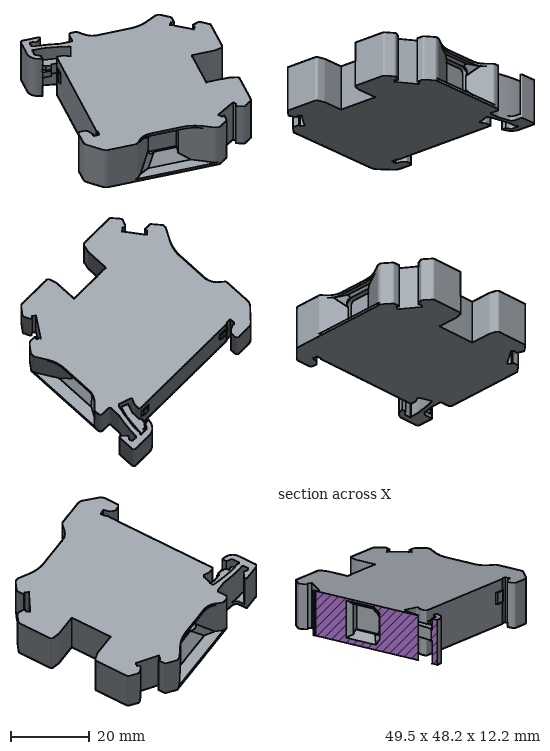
import cadquery as cq
import math

THICKNESS = 12.15
HEIGHT = 48.2
SIDE_X = 24.3
BASE_Y = 6.75

SLOT_X = 5.85
SLOT_FLOOR_Y = 39.6
SHOULDER_Y = 39.65
SHOULDER_SIDE_Y = 37.1

HOOK_TIP_X = 14.95
HOOK_BOTTOM_Y = 2.1

FOOT_LEFT_X = -25.2
FOOT_TIP_Y = 3.1
FOOT_TIP_X = -16.55
ARM_X = -20.95
ARM_TOP_Y = 9.35
HEEL_Y = 12.6
CATCH_TOP_Y = 5.2
POCKET_FLOOR_Y = 2.1
FOOT_SLOT_X = -20.8
WEB_THICKNESS = 1.25

LATCH_Z_MIN = 6.0
LATCH_Z_MAX = 9.1
LATCH_LIP_Z_MAX = 7.7
TAB_DEPTH = 0.3
LEFT_TAB_MIN_X = -15.55
LEFT_TAB_MAX_X = -12.7
LEFT_TAB_LEAD_IN = 0.65
RIGHT_TAB_MIN_X = 13.2
RIGHT_TAB_MAX_X = 16.35
RIGHT_TAB_LEAD_IN = 0.55

PLATE = 0.75
ENTRY_TOP_Y = 36.1
ENTRY_BOTTOM_Y = 14.85
ENTRY_BACK_X = 21.3
MOUTH_UPPER_RADIUS = 1.5
MOUTH_LOWER_RADIUS = 0.75
ENTRY_UPPER_RADIUS = 9.65
ENTRY_LOWER_RADIUS = 4.45
TUNNEL_TOP_Y = 27.5
TUNNEL_BOTTOM_Y = 19.65
TUNNEL_Z_MIN = 3.5
TUNNEL_Z_MAX = 10.65
TUNNEL_BACK_X = 17.85
TUNNEL_CORNER = 1.2
UPPER_WALL_X = 19.4
LOWER_WALL_X = 18.9
FUNNEL_FLOOR_X = 21.05
FUNNEL_BACK_X = 18.4
FUNNEL_ROOF_X = 20.1
OVERCUT = 1.0


def rounded_outline(corners):
    """Closed wire through (x, y, radius) corners; radius 0 keeps a corner sharp."""
    cuts = []
    for i, (x, y, radius) in enumerate(corners):
        before = corners[i - 1]
        after = corners[(i + 1) % len(corners)]
        corner = cq.Vector(x, y)
        if radius == 0:
            cuts.append((corner, None, corner))
            continue
        back = (cq.Vector(before[0], before[1]) - corner).normalized()
        ahead = (cq.Vector(after[0], after[1]) - corner).normalized()
        half_angle = back.getAngle(ahead) / 2
        tangent = radius / math.tan(half_angle)
        bisector = (back + ahead).normalized()
        middle = corner + bisector * (radius / math.sin(half_angle) - radius)
        cuts.append((corner + back * tangent, middle, corner + ahead * tangent))
    sketch = cq.Workplane("XY").moveTo(cuts[0][2].x, cuts[0][2].y)
    for start, middle, end in cuts[1:] + cuts[:1]:
        sketch = sketch.lineTo(start.x, start.y)
        if middle is not None:
            sketch = sketch.threePointArc((middle.x, middle.y), (end.x, end.y))
    return sketch.close()


def slab(corners, z_min, z_max):
    """Prism over a rounded outline between two Z levels."""
    return rounded_outline(corners).extrude(z_max - z_min).translate((0, 0, z_min))


def upper_right_corners():
    """Right half of the upper end, from the slot floor out to the side face."""
    return [
        (SLOT_X, SLOT_FLOOR_Y, 0),
        (SLOT_X, 45.85, 0),
        (6.5, HEIGHT, 0.75),
        (16.4, HEIGHT, 0.75),
        (18.35, 45.75, 0.75),
        (17.4, 43.5, 0.4),
        (16.7, 44.05, 0),
        (15.85, 43.45, 0),
        (19.5, 38.25, 0),
        (20.4, 38.95, 0),
        (20.2, SHOULDER_Y, 0),
        (22.28, SHOULDER_Y, 0.75),
        (SIDE_X, SHOULDER_SIDE_Y, 0.5),
    ]


def rail_hook_corners():
    """Fixed hook on the right, from the side face round to the base."""
    return [
        (SIDE_X, 6.4, 2.25),
        (20.1, HOOK_BOTTOM_Y, 2.25),
        (HOOK_TIP_X, HOOK_BOTTOM_Y, 0.8),
        (HOOK_TIP_X, 4.2, 0.25),
        (16.0, 5.1, 0.25),
        (17.6, 5.55, 0),
        (17.5, 7.0, 0),
        (16.45, 7.0, 0),
        (15.95, BASE_Y, 0),
    ]


def spring_foot_corners():
    """Spring slot, sprung foot and its arm, from the base round to the left side."""
    return [
        (-16.15, BASE_Y, 0.4),
        (-16.05, 8.55, 0.5),
        (-15.15, 10.25, 0.4),
        (-19.0, 11.6, 0.45),
        (-19.8, 8.55, 9.9),
        (-20.55, 4.85, 9.9),
        (-20.65, POCKET_FLOOR_Y, 0),
        (FOOT_SLOT_X, POCKET_FLOOR_Y, 0),
        (FOOT_SLOT_X, 1.75, 0),
        (-18.6, 1.75, 0.6),
        (-17.75, FOOT_TIP_Y, 0),
        (FOOT_TIP_X, FOOT_TIP_Y, 0),
        (-17.3, 0, 2.9),
        (FOOT_LEFT_X, 0, 0.75),
        (FOOT_LEFT_X, CATCH_TOP_Y, 0.15),
        (-24.55, CATCH_TOP_Y, 0),
        (-23.25, 3.65, 0.4),
        (-23.85, 3.0, 0.25),
        (-23.75, POCKET_FLOOR_Y, 0.3),
        (-22.1, POCKET_FLOOR_Y, 0.3),
        (-21.85, 5.7, 37.12),
        (ARM_X, ARM_TOP_Y, 0),
        (ARM_X, HEEL_Y, 0.4),
        (-SIDE_X, HEEL_Y, 0.9),
    ]


def make_body():
    right = upper_right_corners()
    left = [(-x, y, radius) for x, y, radius in reversed(right)]
    outline = left + right + rail_hook_corners() + spring_foot_corners()
    return slab(outline, 0, THICKNESS)


def make_catch_web():
    """Thin floor across the catch pocket, rounded into the arm."""
    corners = [
        (-24.85, CATCH_TOP_Y, 0),
        (-21.9, CATCH_TOP_Y, 1.5),
        (-21.55, 6.6, 0),
        (-21.3, 5.95, 0),
        (-21.55, 1.75, 0),
        (-24.85, 1.75, 0),
    ]
    return slab(corners, 0, WEB_THICKNESS)


def make_latch_finger():
    """Finger hanging between the body and the foot, next to the spring slot."""
    finger = [
        (-18.0, 11.5, 0),
        (-19.0, 8.35, 9.9),
        (-19.7, 3.3, 9.9),
        (-19.75, POCKET_FLOOR_Y, 0),
        (FOOT_SLOT_X, POCKET_FLOOR_Y, 0),
        (FOOT_SLOT_X, 1.5, 0),
        (-18.5, 1.5, 0),
        (-18.5, FOOT_TIP_Y, 0),
        (-17.75, FOOT_TIP_Y, 0),
        (-17.05, 4.2, 0),
        (-16.8, 5.5, 0),
        (-17.25, 5.75, 0),
        (-17.25, 8.1, 1.5),
        (-16.2, 10.8, 0),
    ]
    lip = [
        (-17.75, FOOT_TIP_Y, 0),
        (-16.4, FOOT_TIP_Y, 0),
        (-16.4, 5.4, 0),
        (-16.8, 5.5, 0),
        (-17.05, 4.2, 0),
    ]
    tall = slab(finger, LATCH_Z_MIN, LATCH_Z_MAX)
    return tall.union(slab(lip, LATCH_Z_MIN, LATCH_LIP_Z_MAX))


def make_snap_tab(x_min, x_max, lead_in):
    """Low bevelled tab under the base."""
    corners = [
        (x_min, BASE_Y, 0),
        (x_min + lead_in, BASE_Y - TAB_DEPTH, 0),
        (x_max - lead_in, BASE_Y - TAB_DEPTH, 0),
        (x_max, BASE_Y, 0),
        (x_max, BASE_Y + TAB_DEPTH, 0),
        (x_min, BASE_Y + TAB_DEPTH, 0),
    ]
    return slab(corners, LATCH_Z_MIN, LATCH_Z_MAX)


def entry_mouth(inner_corners):
    """Entry outline whose walls blend into the left side face."""
    outside = -SIDE_X - OVERCUT
    return [
        (outside, ENTRY_TOP_Y + OVERCUT / 2, 0),
        (-SIDE_X, ENTRY_TOP_Y + OVERCUT / 2, 0),
        (-SIDE_X, ENTRY_TOP_Y, MOUTH_UPPER_RADIUS),
        *inner_corners,
        (-SIDE_X, ENTRY_BOTTOM_Y, MOUTH_LOWER_RADIUS),
        (-SIDE_X, ENTRY_BOTTOM_Y - OVERCUT / 2, 0),
        (outside, ENTRY_BOTTOM_Y - OVERCUT / 2, 0),
    ]


def sloped_prism(profile):
    """Prism over an XZ profile, spanning the full height of the entry."""
    length = ENTRY_TOP_Y - ENTRY_BOTTOM_Y
    prism = cq.Workplane("XZ").polyline(profile).close().extrude(-length)
    return prism.translate((0, ENTRY_BOTTOM_Y, 0))


def facet_block(origin, second, third, z_direction):
    """Large block behind the plane of three (x, y, z) points, on the given Z side."""
    base = cq.Vector(*origin)
    along = cq.Vector(*second) - base
    normal = along.cross(cq.Vector(*third) - base)
    if normal.z * z_direction < 0:
        normal = normal * -1
    plane = cq.Plane(base, along, normal)
    return cq.Workplane(plane).rect(HEIGHT, HEIGHT).extrude(HEIGHT)


def upper_wall_y(x):
    """Y of the slanted upper entry wall at a distance x from the middle."""
    slope = (ENTRY_TOP_Y - TUNNEL_TOP_Y) / (SIDE_X - UPPER_WALL_X)
    return TUNNEL_TOP_Y + slope * (x - UPPER_WALL_X)


def lower_wall_y(x):
    """Y of the slanted lower entry wall at a distance x from the middle."""
    slope = (ENTRY_BOTTOM_Y - TUNNEL_BOTTOM_Y) / (SIDE_X - LOWER_WALL_X)
    return TUNNEL_BOTTOM_Y + slope * (x - LOWER_WALL_X)


def make_left_entry():
    """Cutter for the left wire entry: open skin, funnel and tunnel."""
    skin_cut = slab(
        entry_mouth([
            (-ENTRY_BACK_X, upper_wall_y(ENTRY_BACK_X), ENTRY_UPPER_RADIUS),
            (-ENTRY_BACK_X, lower_wall_y(ENTRY_BACK_X), ENTRY_LOWER_RADIUS),
        ]),
        THICKNESS - PLATE,
        THICKNESS,
    )
    funnel = slab(
        entry_mouth([
            (-UPPER_WALL_X, TUNNEL_TOP_Y, 0),
            (-FUNNEL_BACK_X, TUNNEL_TOP_Y, 0),
            (-FUNNEL_BACK_X, TUNNEL_BOTTOM_Y, 0),
            (-LOWER_WALL_X, TUNNEL_BOTTOM_Y, 0),
        ]),
        PLATE,
        THICKNESS - PLATE,
    )
    floor_wedge = sloped_prism([
        (-FUNNEL_FLOOR_X, PLATE),
        (-FUNNEL_BACK_X, TUNNEL_Z_MIN),
        (-TUNNEL_BACK_X, TUNNEL_Z_MIN),
        (-TUNNEL_BACK_X, PLATE),
    ])
    roof_wedge = sloped_prism([
        (-FUNNEL_ROOF_X, THICKNESS - PLATE),
        (-UPPER_WALL_X, TUNNEL_Z_MAX),
        (-TUNNEL_BACK_X, TUNNEL_Z_MAX),
        (-TUNNEL_BACK_X, THICKNESS - PLATE),
    ])
    lower_facet = facet_block(
        (-FUNNEL_FLOOR_X, 18.95, PLATE),
        (-22.35, 16.75, PLATE),
        (-FUNNEL_BACK_X, 21.4, TUNNEL_Z_MIN),
        -1,
    )
    upper_facet = facet_block(
        (-21.65, 17.25, THICKNESS - PLATE),
        (-19.0, 19.55, 8.75),
        (-UPPER_WALL_X, 21.25, TUNNEL_Z_MAX),
        1,
    )
    funnel = funnel.cut(floor_wedge).cut(roof_wedge).cut(lower_facet).cut(upper_facet)
    tunnel = (
        cq.Workplane("XY")
        .box(
            UPPER_WALL_X - TUNNEL_BACK_X,
            TUNNEL_TOP_Y - TUNNEL_BOTTOM_Y,
            TUNNEL_Z_MAX - TUNNEL_Z_MIN,
            centered=False,
        )
        .edges("|X and <Y")
        .fillet(TUNNEL_CORNER)
        .translate((-UPPER_WALL_X, TUNNEL_BOTTOM_Y, TUNNEL_Z_MIN))
    )
    return skin_cut.union(funnel).union(tunnel)


left_entry = make_left_entry()
result = (
    make_body()
    .union(make_catch_web())
    .union(make_latch_finger())
    .union(make_snap_tab(LEFT_TAB_MIN_X, LEFT_TAB_MAX_X, LEFT_TAB_LEAD_IN))
    .union(make_snap_tab(RIGHT_TAB_MIN_X, RIGHT_TAB_MAX_X, RIGHT_TAB_LEAD_IN))
    .cut(left_entry)
    .cut(left_entry.mirror("YZ"))
)